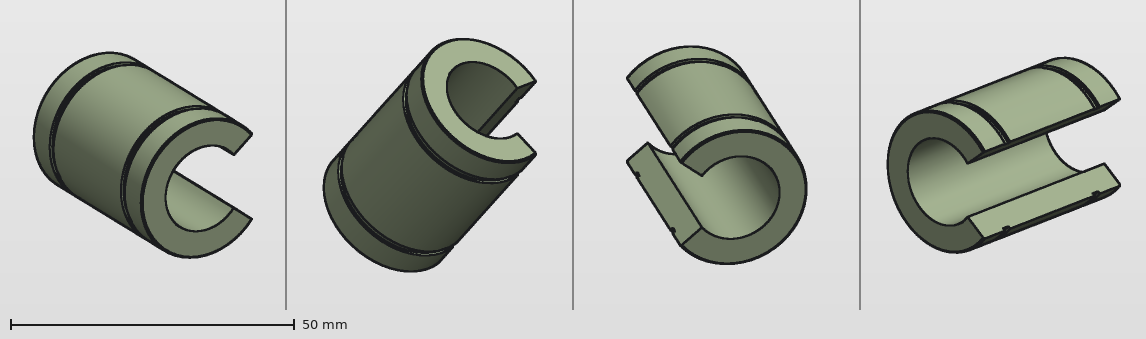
import cadquery as cq
import math

length = 36.0
outer_diameter = 26.0
bore_diameter = 16.0
edge_chamfer = 0.25

groove_diameter = 24.9
groove_width = 1.3
groove_outer_span = 24.9

opening_angle = 78.0


def make_sleeve():
    """Chamfered tube centred on the origin."""
    body = (
        cq.Workplane("YZ")
        .circle(outer_diameter / 2)
        .extrude(length / 2, both=True)
        .faces("<X or >X")
        .chamfer(edge_chamfer)
    )
    bore = cq.Workplane("YZ").circle(bore_diameter / 2).extrude(length / 2, both=True)
    return body.cut(bore)


def make_groove(center_x):
    """Ring of material to remove for one groove."""
    return (
        cq.Workplane("YZ", origin=(center_x, 0, 0))
        .circle(outer_diameter / 2)
        .circle(groove_diameter / 2)
        .extrude(groove_width / 2, both=True)
    )


def make_opening():
    """Wedge from the axis that reaches past the outer surface."""
    wedge_depth = outer_diameter
    half_height = wedge_depth * math.tan(math.radians(opening_angle / 2))
    return (
        cq.Workplane("YZ")
        .polyline([(0, 0), (wedge_depth, -half_height), (wedge_depth, half_height)])
        .close()
        .extrude(length / 2, both=True)
    )


result = make_sleeve()
groove_offset = (groove_outer_span - groove_width) / 2
for side in (-1, 1):
    result = result.cut(make_groove(side * groove_offset))
result = result.cut(make_opening())